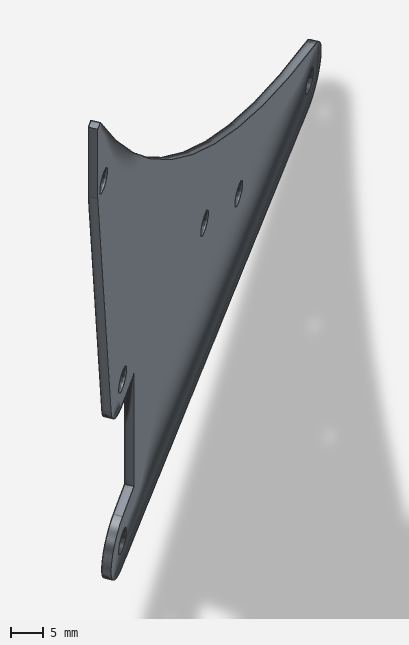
import cadquery as cq
import math

thickness = 1.5
length_y = 120.9
height_z = 139.0

corner_radius = 6.3
lug_y = 13.5
upper_lug = (lug_y, 57.7)
lower_lug = (lug_y, 16.3)
tail = (length_y - corner_radius, corner_radius)

notch_floor_y = 19.6

tip_width = 1.4
tip_edge_end = (0, 121.2)
tip_corner = (tip_width, height_z)
concave_radius = 333.5

corner_hole_diameter = 4.3
inner_hole_diameter = 4.2
tip_hole = (3.2, 121.7)
corner_holes = [upper_lug, lower_lug, tail]
inner_holes = [tip_hole, (57.8, 41.7), (76.3, 25.9)]


def polar(center, radius, angle):
    """Point at a radius and angle (radians, from +Y towards +Z) about a center."""
    return (center[0] + radius * math.cos(angle), center[1] + radius * math.sin(angle))


def direction(start, end):
    """Angle of the line from start to end."""
    return math.atan2(end[1] - start[1], end[0] - start[0])


def concave_center():
    """Center of the arc through the tip corner that is tangent to the tail round."""
    span = math.dist(tip_corner, tail)
    tail_distance = concave_radius + corner_radius
    cosine = (span**2 + concave_radius**2 - tail_distance**2) / (2 * span * concave_radius)
    return polar(tip_corner, concave_radius, direction(tip_corner, tail) + math.acos(cosine))


def make_plate():
    lug_distance = math.dist(upper_lug, tip_edge_end)
    upper_tangent_angle = direction(upper_lug, tip_edge_end) + math.acos(corner_radius / lug_distance)
    upper_mid_angle = (upper_tangent_angle + 1.5 * math.pi) / 2

    bottom_angle = direction(lower_lug, tail) - math.pi / 2
    lower_mid_angle = (math.pi / 2 + bottom_angle + 2 * math.pi) / 2

    center = concave_center()
    concave_end_angle = direction(center, tail)
    concave_mid_angle = (concave_end_angle + direction(center, tip_corner)) / 2
    tail_end_angle = direction(tail, center)
    tail_mid_angle = (bottom_angle + tail_end_angle) / 2

    return (
        cq.Workplane("YZ")
        .moveTo(*tip_corner)
        .lineTo(0, height_z)
        .lineTo(*tip_edge_end)
        .lineTo(*polar(upper_lug, corner_radius, upper_tangent_angle))
        .threePointArc(
            polar(upper_lug, corner_radius, upper_mid_angle),
            (lug_y, upper_lug[1] - corner_radius),
        )
        .lineTo(notch_floor_y, upper_lug[1] - corner_radius)
        .lineTo(notch_floor_y, lower_lug[1] + corner_radius)
        .lineTo(lug_y, lower_lug[1] + corner_radius)
        .threePointArc(
            polar(lower_lug, corner_radius, lower_mid_angle),
            polar(lower_lug, corner_radius, bottom_angle),
        )
        .lineTo(*polar(tail, corner_radius, bottom_angle))
        .threePointArc(
            polar(tail, corner_radius, tail_mid_angle),
            polar(tail, corner_radius, tail_end_angle),
        )
        .threePointArc(polar(center, concave_radius, concave_mid_angle), tip_corner)
        .close()
        .extrude(thickness)
    )


def make_holes(centers, diameter):
    return cq.Workplane("YZ").pushPoints(centers).circle(diameter / 2).extrude(thickness)


result = (
    make_plate()
    .cut(make_holes(corner_holes, corner_hole_diameter))
    .cut(make_holes(inner_holes, inner_hole_diameter))
)